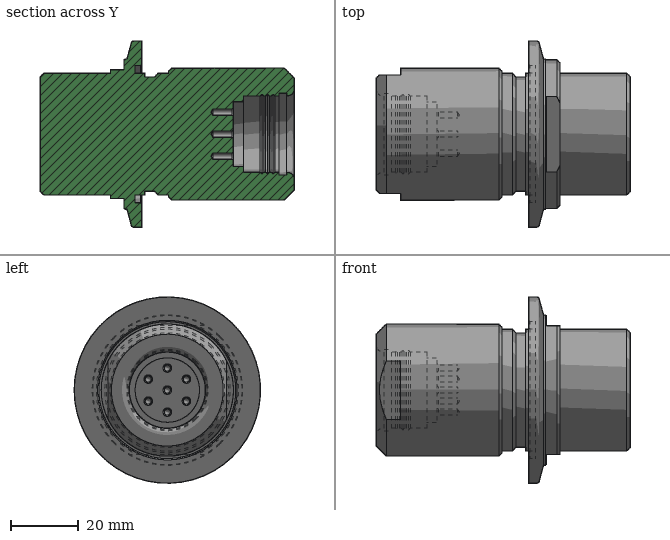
import cadquery as cq
import math

LENGTH = 75.0

BODY_R = 19.5
FRONT_FACE_R = 16.5
FRONT_CHAMFER_LENGTH = 3.0
BODY_END_X = 37.2
BODY_END_CHAMFER = 1.0

NECK_R = 18.0
RELIEF_R = 16.9
RELIEF_START_X = 40.2
RELIEF_END_X = 44.1
RELIEF_TAPER = 1.0

FLANGE_R = 27.5
FULL_WIDTH = 2 * FLANGE_R
FLANGE_X = 45.0
FLANGE_RIM_END_X = 48.2
FLANGE_EDGE_ROUND = 0.9
FLANGE_BACK_X = 49.4
FLANGE_BACK_R = 22.2
FLANGE_RECESS_R = 20.2
FLANGE_RECESS_CHAMFER = 0.4
FLANGE_RECESS_DEPTH = 2.0

NUT_X = 49.9
NUT_R = 22.0
NUT_END_X = 54.3
NUT_CHAMFER = 1.0
NUT_FLAT_X = 50.3
NUT_FLAT_HALF_SPAN = 19.0

SLEEVE_R = 18.0
SLEEVE_CHAMFER = 1.1

WRENCH_FLAT_LENGTH = 7.2
WRENCH_FLAT_HALF_SPAN = 17.5

LIP_R = 11.3
LIP_ROUND = 2.0
LIP_END_X = 2.3
UNDERCUT_R = 12.0
UNDERCUT_END_X = 4.5
SOCKET_R = 11.2
SOCKET_DEPTH = 15.0
INSERT_R = 9.5
INSERT_DEPTH = 18.0

RING_COUNT = 3
RING_FIRST_X = 5.7
RING_PITCH = 1.65
RING_WIDTH = 1.15
RING_DEPTH = 0.5

CONTACT_COUNT = 6
CONTACT_CIRCLE_R = 6.5
CONTACT_R = 0.9
CONTACT_MOUTH_R = 1.25
CONTACT_MOUTH_DEPTH = 0.35
CONTACT_DEPTH = 6.0
CONTACT_TIP_ANGLE = 118.0
CONTACT_TIP_LENGTH = CONTACT_R / math.tan(math.radians(CONTACT_TIP_ANGLE / 2))

AXIS_START = (0, 0, 0)
AXIS_END = (1, 0, 0)


def revolve_about_x(profile):
    """Turn a closed profile, drawn as (x, radius) in the XY plane, about the X axis."""
    return profile.close().revolve(360, AXIS_START, AXIS_END)


def make_body():
    """Solid outer shape of the whole connector."""
    arc_offset = FLANGE_EDGE_ROUND * (1 - math.sqrt(0.5))
    rim_flat_end_x = FLANGE_RIM_END_X - FLANGE_EDGE_ROUND
    profile = (
        cq.Workplane("XY")
        .moveTo(0, 0)
        .lineTo(0, FRONT_FACE_R)
        .lineTo(FRONT_CHAMFER_LENGTH, BODY_R)
        .lineTo(BODY_END_X - BODY_END_CHAMFER, BODY_R)
        .lineTo(BODY_END_X, BODY_R - BODY_END_CHAMFER)
        .lineTo(BODY_END_X, NECK_R)
        .lineTo(RELIEF_START_X, NECK_R)
        .lineTo(RELIEF_START_X + RELIEF_TAPER, RELIEF_R)
        .lineTo(RELIEF_END_X, RELIEF_R)
        .lineTo(RELIEF_END_X, NECK_R)
        .lineTo(FLANGE_X + FLANGE_RECESS_DEPTH, NECK_R)
        .lineTo(FLANGE_X + FLANGE_RECESS_DEPTH, FLANGE_RECESS_R)
        .lineTo(FLANGE_X + FLANGE_RECESS_CHAMFER, FLANGE_RECESS_R)
        .lineTo(FLANGE_X, FLANGE_RECESS_R + FLANGE_RECESS_CHAMFER)
        .lineTo(FLANGE_X, FLANGE_R)
        .lineTo(rim_flat_end_x, FLANGE_R)
        .threePointArc(
            (FLANGE_RIM_END_X - arc_offset, FLANGE_R - arc_offset),
            (FLANGE_RIM_END_X, FLANGE_R - FLANGE_EDGE_ROUND),
        )
        .lineTo(FLANGE_BACK_X, FLANGE_BACK_R)
        .lineTo(NUT_X, FLANGE_BACK_R)
        .lineTo(NUT_X, NUT_R)
        .lineTo(NUT_END_X - NUT_CHAMFER, NUT_R)
        .lineTo(NUT_END_X, NUT_R - NUT_CHAMFER)
        .lineTo(NUT_END_X, SLEEVE_R)
        .lineTo(LENGTH - SLEEVE_CHAMFER, SLEEVE_R)
        .lineTo(LENGTH, SLEEVE_R - SLEEVE_CHAMFER)
        .lineTo(LENGTH, 0)
    )
    return revolve_about_x(profile)


def block_from(x, length, width_y, width_z):
    """Box starting at x and centred on the X axis."""
    return cq.Workplane("XY").box(length, width_y, width_z, centered=(False, True, True)).translate((x, 0, 0))


def cut_wrench_flats(part):
    """Two flats on the front body, facing +Y and -Y."""
    outside = block_from(0, WRENCH_FLAT_LENGTH, FULL_WIDTH, FULL_WIDTH)
    kept = block_from(0, WRENCH_FLAT_LENGTH, 2 * WRENCH_FLAT_HALF_SPAN, FULL_WIDTH)
    return part.cut(outside.cut(kept))


def cut_nut_flats(part):
    """Two flats on the nut, facing +Z and -Z."""
    length = NUT_END_X - NUT_FLAT_X
    outside = block_from(NUT_FLAT_X, length, FULL_WIDTH, FULL_WIDTH)
    kept = block_from(NUT_FLAT_X, length, FULL_WIDTH, 2 * NUT_FLAT_HALF_SPAN)
    return part.cut(outside.cut(kept))


def cut_socket(part):
    """Rounded lip, undercut, ringed wall and the recess above the contact insert."""
    arc_offset = LIP_ROUND * (1 - math.sqrt(0.5))
    profile = (
        cq.Workplane("XY")
        .moveTo(0, 0)
        .lineTo(0, LIP_R + LIP_ROUND)
        .threePointArc((arc_offset, LIP_R + arc_offset), (LIP_ROUND, LIP_R))
        .lineTo(LIP_END_X, LIP_R)
        .lineTo(LIP_END_X, UNDERCUT_R)
        .lineTo(UNDERCUT_END_X, UNDERCUT_R)
        .lineTo(UNDERCUT_END_X, SOCKET_R)
    )
    for ring in range(RING_COUNT):
        ring_x = RING_FIRST_X + ring * RING_PITCH
        profile = (
            profile.lineTo(ring_x, SOCKET_R)
            .lineTo(ring_x + RING_WIDTH / 2, SOCKET_R + RING_DEPTH)
            .lineTo(ring_x + RING_WIDTH, SOCKET_R)
        )
    profile = (
        profile.lineTo(SOCKET_DEPTH, SOCKET_R)
        .lineTo(SOCKET_DEPTH, INSERT_R)
        .lineTo(INSERT_DEPTH, INSERT_R)
        .lineTo(INSERT_DEPTH, 0)
    )
    return part.cut(revolve_about_x(profile))


def contact_hole(y, z):
    """Blind contact hole with a conical mouth and a drill-point end, sunk into the insert face."""
    profile = (
        cq.Workplane("XY")
        .moveTo(INSERT_DEPTH, 0)
        .lineTo(INSERT_DEPTH, CONTACT_MOUTH_R)
        .lineTo(INSERT_DEPTH + CONTACT_MOUTH_DEPTH, CONTACT_R)
        .lineTo(INSERT_DEPTH + CONTACT_DEPTH, CONTACT_R)
        .lineTo(INSERT_DEPTH + CONTACT_DEPTH + CONTACT_TIP_LENGTH, 0)
    )
    return revolve_about_x(profile).translate((0, y, z))


def cut_contacts(part):
    """Centre contact and the evenly spaced ring of contacts, the first one towards +Z."""
    part = part.cut(contact_hole(0, 0))
    for index in range(CONTACT_COUNT):
        angle = 2 * math.pi * index / CONTACT_COUNT
        y = CONTACT_CIRCLE_R * math.sin(angle)
        z = CONTACT_CIRCLE_R * math.cos(angle)
        part = part.cut(contact_hole(y, z))
    return part


result = make_body()
result = cut_wrench_flats(result)
result = cut_nut_flats(result)
result = cut_socket(result)
result = cut_contacts(result)